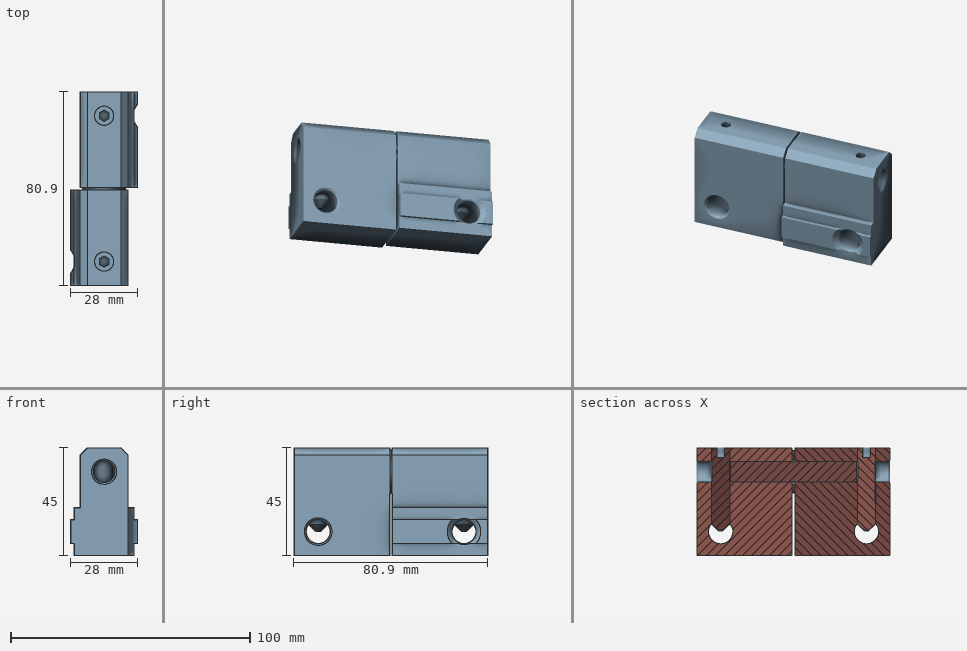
import cadquery as cq
import math

leaf_length = 40.0
leaf_height = 45.0
body_half_width = 10.0
top_chamfer = 3.0
foot_reach = 12.5
foot_height = 20.0
pad_reach = 14.0
pad_bottom = 5.0
pad_top = 15.0

leaf_gap = 0.92
leaf_near = leaf_gap / 2
leaf_far = leaf_near + leaf_length

pin_axis_height = 35.0
pin_diameter = 9.0
pin_end_chamfer_depth = 0.3
pin_end_chamfer_width = 0.8
pin_mouth_chamfer = 0.75

mount_inset = 10.0
mount_y = leaf_far - mount_inset
mount_height = 10.0
mount_diameter = 10.0
mount_chamfer = 0.75
countersink_depth = 2.0

screw_diameter = 8.0
screw_point_diameter = 2.0
screw_cone_height = (screw_diameter - screw_point_diameter) / 2
socket_across_flats = 4.0
socket_depth = 4.0

washer_diameter = 18.0
washer_bore = 11.0
slit_width = 2.15
slit_angle = 20.0

pin_half_length = mount_y - screw_diameter / 2


def revolved_about_x(points):
    """Solid of revolution about the mounting hole axis, from (x, radius) points."""
    profile = cq.Workplane("XY").polyline(points).close()
    return profile.revolve(360, (0, 0, 0), (1, 0, 0)).translate((0, -mount_y, mount_height))


def leaf_blank():
    """Constant outline of the leaf, extruded along the hinge from the far end to the gap."""
    outline = [
        (body_half_width, 0),
        (body_half_width, leaf_height - top_chamfer),
        (body_half_width - top_chamfer, leaf_height),
        (-body_half_width + top_chamfer, leaf_height),
        (-body_half_width, leaf_height - top_chamfer),
        (-body_half_width, foot_height),
        (-foot_reach, foot_height),
        (-foot_reach, pad_top),
        (-pad_reach, pad_top),
        (-pad_reach, pad_bottom),
        (-foot_reach, pad_bottom),
        (-foot_reach, 0),
    ]
    blank = cq.Workplane("XZ").polyline(outline).close().extrude(leaf_length)
    return blank.translate((0, -leaf_near, 0))


def mounting_hole():
    """Cross hole, countersunk at the pad and lightly chamfered at the plain face."""
    radius = mount_diameter / 2
    return revolved_about_x([
        (-pad_reach, 0),
        (-pad_reach, radius + countersink_depth),
        (-pad_reach + countersink_depth, radius),
        (body_half_width - mount_chamfer, radius),
        (body_half_width, radius + mount_chamfer),
        (body_half_width, 0),
    ])


def pin_hole():
    """Bore for the hinge pin through the whole leaf, chamfered at the far end."""
    bore_radius = pin_diameter / 2
    mouth_start = -leaf_far + pin_mouth_chamfer
    profile = [
        (0, -leaf_near),
        (bore_radius, -leaf_near),
        (bore_radius, mouth_start),
        (bore_radius + pin_mouth_chamfer, -leaf_far),
        (0, -leaf_far),
    ]
    hole = cq.Workplane("XY").polyline(profile).close().revolve(360, (0, 0, 0), (0, 1, 0))
    return hole.translate((0, 0, pin_axis_height))


def screw_hole():
    """Bore for the set screw, from the top face down into the mounting hole."""
    hole = cq.Workplane("XY").circle(screw_diameter / 2).extrude(leaf_height - mount_height)
    return hole.translate((0, -mount_y, mount_height))


def make_leaf():
    return leaf_blank().cut(mounting_hole()).cut(pin_hole()).cut(screw_hole())


def make_set_screw():
    """Flush set screw whose point reaches the axis of the mounting hole."""
    radius = screw_diameter / 2
    length = leaf_height - mount_height
    profile = [
        (0, 0),
        (screw_point_diameter / 2, 0),
        (radius, screw_cone_height),
        (radius, length),
        (0, length),
    ]
    screw = cq.Workplane("XZ").polyline(profile).close().revolve(360, (0, 0, 0), (0, 1, 0))
    across_corners = socket_across_flats / math.cos(math.pi / 6)
    socket = cq.Workplane("XY").polygon(6, across_corners).extrude(-socket_depth)
    socket = socket.rotate((0, 0, 0), (0, 0, 1), 90).translate((0, 0, length))
    return screw.cut(socket).translate((0, -mount_y, mount_height))


def make_pin():
    pin = cq.Workplane("XZ").circle(pin_diameter / 2).extrude(pin_half_length, both=True)
    pin = pin.faces("|Y").chamfer(pin_end_chamfer_depth, pin_end_chamfer_width)
    return pin.translate((0, 0, pin_axis_height))


def make_washer():
    """Flat ring with clearance around the pin, cut through on the -X side by a slanted slit."""
    ring = cq.Workplane("XZ").circle(washer_diameter / 2).circle(washer_bore / 2)
    ring = ring.extrude(leaf_near, both=True)
    slit = cq.Workplane("XY").box(washer_diameter / 2, leaf_gap, slit_width)
    slit = slit.rotate((0, 0, 0), (0, 1, 0), slit_angle)
    slit = slit.translate((-washer_diameter / 2, 0, 0))
    return ring.cut(slit).translate((0, 0, pin_axis_height))


leaves = []
set_screws = []
for turn in (0, 180):
    leaves.append(make_leaf().rotate((0, 0, 0), (0, 0, 1), turn).val())
    set_screws.append(make_set_screw().rotate((0, 0, 0), (0, 0, 1), turn).val())

pin = make_pin()
washer = make_washer()

result = cq.Compound.makeCompound([*leaves, *set_screws, pin.val(), washer.val()])